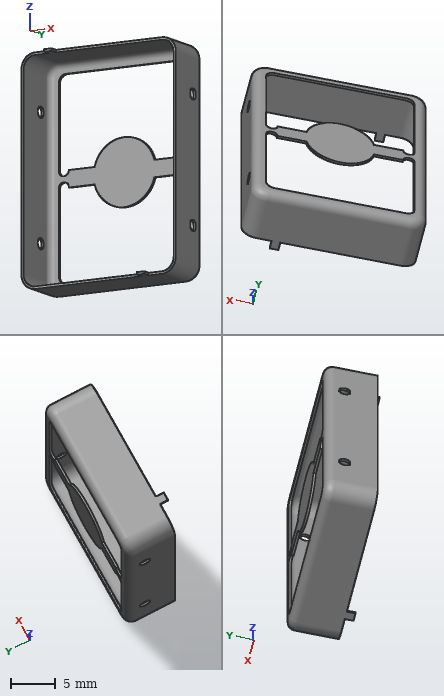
import cadquery as cq

WIDTH = 20.0
HEIGHT = 27.0
DEPTH = 6.0
WALL = 0.3
CORNER_RADIUS = 1.8
BACK_EDGE_RADIUS = 1.0

FLANGE_WIDTH = 1.5
WINDOW_CORNER_RADIUS = 1.0

DISC_DIAMETER = 8.0
BAR_HEIGHT = 2.0
NOTCH_DIAMETER = 1.3

SIDE_HOLE_DIAMETER = 1.3
SIDE_HOLE_SPACING = 15.0
SIDE_HOLE_FROM_BACK = 2.2

TAB_WIDTH = 1.0
TAB_LENGTH = 1.0
TAB_OFFSET = 6.0

WINDOW_WIDTH = WIDTH - 2 * FLANGE_WIDTH
WINDOW_HEIGHT = HEIGHT - 2 * FLANGE_WIDTH


def rounded_block(width, height, y_start, y_end, corner_radius):
    """Block centred on the Y axis, with its four Y-parallel edges rounded."""
    depth = y_end - y_start
    block = cq.Workplane("XY").box(width, depth, height)
    block = block.translate((0, (y_start + y_end) / 2, 0))
    return block.edges("|Y").fillet(corner_radius)


def make_shell():
    """Tray of even thickness with rounded corners and back edges."""
    outer = rounded_block(WIDTH, HEIGHT, 0, DEPTH, CORNER_RADIUS)
    outer = outer.faces(">Y").edges().fillet(BACK_EDGE_RADIUS)
    inner = rounded_block(
        WIDTH - 2 * WALL, HEIGHT - 2 * WALL, 0, DEPTH - WALL, CORNER_RADIUS - WALL
    )
    inner = inner.faces(">Y").edges().fillet(BACK_EDGE_RADIUS - WALL)
    return outer.cut(inner)


def make_window():
    """Rounded rectangular opening through the floor."""
    return rounded_block(
        WINDOW_WIDTH, WINDOW_HEIGHT, DEPTH - WALL, DEPTH, WINDOW_CORNER_RADIUS
    )


def make_disc_and_bar():
    """Disc on a bar spanning the window, necked by a notch pair at each end."""
    floor_back = cq.Workplane("XZ", origin=(0, DEPTH, 0))
    disc = floor_back.circle(DISC_DIAMETER / 2).extrude(WALL)
    bar = floor_back.rect(WINDOW_WIDTH, BAR_HEIGHT).extrude(WALL)
    notch_x_spacing = WINDOW_WIDTH - NOTCH_DIAMETER
    notches = (
        floor_back.rect(notch_x_spacing, BAR_HEIGHT, forConstruction=True)
        .vertices()
        .circle(NOTCH_DIAMETER / 2)
        .extrude(WALL)
    )
    return disc.union(bar).cut(notches)


def make_side_holes():
    """Cylinders along X that pierce both side walls."""
    hole_y = DEPTH - SIDE_HOLE_FROM_BACK
    half_spacing = SIDE_HOLE_SPACING / 2
    return (
        cq.Workplane("YZ")
        .pushPoints([(hole_y, -half_spacing), (hole_y, half_spacing)])
        .circle(SIDE_HOLE_DIAMETER / 2)
        .extrude(WIDTH / 2, both=True)
    )


def make_tab(side):
    """Tab on the top wall (side = 1) or the bottom wall (side = -1)."""
    tab = cq.Workplane("XY").box(TAB_WIDTH, 2 * TAB_LENGTH, WALL)
    return tab.translate((-side * TAB_OFFSET, 0, side * (HEIGHT - WALL) / 2))


result = make_shell().cut(make_window()).union(make_disc_and_bar())
result = result.cut(make_side_holes())
for tab_side in (1, -1):
    result = result.union(make_tab(tab_side))